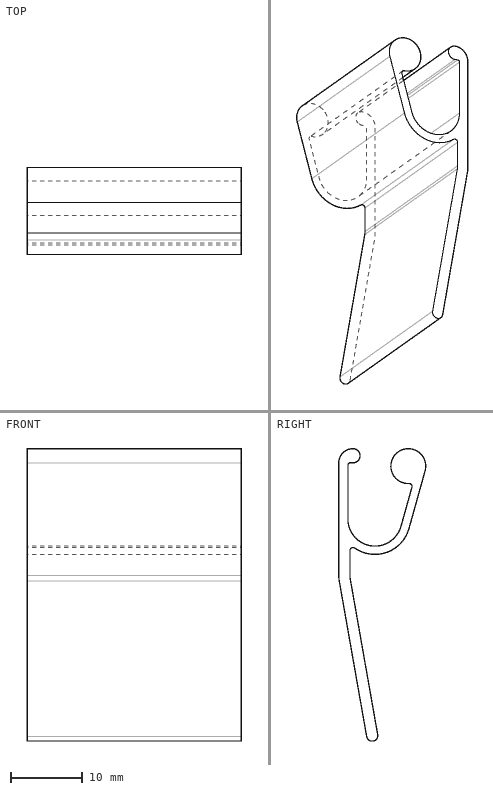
import cadquery as cq
import math

length = 30.0
height = 41.0
depth = 12.2

upper_wall = 1.3
lower_wall = 1.6
lip_outer_radius = 2.0
lip_tip_radius = lip_outer_radius / 2
lip_fillet = 0.3

bend_top_z = 23.2
bend_front_radius = 4.22
tail_angle = math.radians(10)
tail_tip_radius = lower_wall / 2

channel_radius = 3.77
channel_z = 31.1
arm_thickness = 1.2
bead_radius = 2.45
arm_root_fillet = 0.35
channel_root_fillet = 0.4

lip_z = height - lip_outer_radius
bead_y = depth - bead_radius
bead_z = height - bead_radius
channel_y = upper_wall + channel_radius
channel_outer_radius = channel_radius + arm_thickness

span_y = bead_y - channel_y
span_z = bead_z - channel_z
span = math.hypot(span_y, span_z)
arm_angle = math.atan2(span_y, span_z) - math.asin((channel_outer_radius - bead_radius) / span)
normal_y = math.cos(arm_angle)
normal_z = -math.sin(arm_angle)

channel_root_z = channel_z - math.sqrt(channel_outer_radius**2 - (channel_y - lower_wall) ** 2)
lower_wall_top = channel_root_z + arm_thickness / 2


def profile():
    return cq.Workplane("YZ")


def extrude(outline):
    return outline.extrude(length / 2, both=True)


def cylinder(y, z, radius):
    return extrude(profile().center(y, z).circle(radius))


def along_arm(center_y, center_z, offset):
    """Point at an offset from a center, measured square to the arm."""
    return (center_y + offset * normal_y, center_z + offset * normal_z)


def make_upper_wall():
    corner = lip_outer_radius * math.sqrt(0.5)
    outline = (
        profile()
        .moveTo(0, lower_wall_top)
        .lineTo(0, lip_z)
        .threePointArc((lip_outer_radius - corner, lip_z + corner), (lip_outer_radius, height))
        .threePointArc((lip_outer_radius + lip_tip_radius, height - lip_tip_radius), (lip_outer_radius, lip_z))
        .lineTo(upper_wall, lip_z)
        .lineTo(upper_wall, lower_wall_top)
        .close()
    )
    return extrude(outline)


def bend_point(radius, angle):
    """Point on an arc about the bend axis, with the angle measured down from its top."""
    y = bend_front_radius - radius * math.cos(angle)
    z = bend_top_z - radius * math.sin(angle)
    return (y, z)


def make_lower_wall():
    back_radius = bend_front_radius - lower_wall
    middle_radius = bend_front_radius - tail_tip_radius
    middle_end_z = bend_point(middle_radius, tail_angle)[1]
    tail_length = (middle_end_z - tail_tip_radius) / math.cos(tail_angle)

    def tail_point(radius, distance):
        y, z = bend_point(radius, tail_angle)
        return (y + distance * math.sin(tail_angle), z - distance * math.cos(tail_angle))

    outline = (
        profile()
        .moveTo(0, lower_wall_top)
        .lineTo(0, bend_top_z)
        .threePointArc(bend_point(bend_front_radius, tail_angle / 2), bend_point(bend_front_radius, tail_angle))
        .lineTo(*tail_point(bend_front_radius, tail_length))
        .threePointArc(
            tail_point(middle_radius, tail_length + tail_tip_radius), tail_point(back_radius, tail_length)
        )
        .lineTo(*bend_point(back_radius, tail_angle))
        .threePointArc(bend_point(back_radius, tail_angle / 2), (lower_wall, bend_top_z))
        .lineTo(lower_wall, lower_wall_top)
        .close()
    )
    return extrude(outline)


def make_channel():
    """Curved channel floor, from inside the upright wall to the arm."""
    arm_end = 2 * math.pi - arm_angle
    middle = (math.pi + arm_end) / 2

    def on_ring(radius, angle):
        return (channel_y + radius * math.cos(angle), channel_z + radius * math.sin(angle))

    outline = (
        profile()
        .moveTo(*on_ring(channel_radius, math.pi))
        .threePointArc(on_ring(channel_radius, middle), on_ring(channel_radius, arm_end))
        .lineTo(*on_ring(channel_outer_radius, arm_end))
        .threePointArc(on_ring(channel_outer_radius, middle), on_ring(channel_outer_radius, math.pi))
        .close()
    )
    return extrude(outline)


def make_arm():
    outline = profile().polyline(
        [
            along_arm(channel_y, channel_z, channel_radius),
            along_arm(channel_y, channel_z, channel_outer_radius),
            along_arm(bead_y, bead_z, bead_radius),
            along_arm(bead_y, bead_z, bead_radius - arm_thickness),
        ]
    ).close()
    return extrude(outline)


def round_corner(body, corner, radius):
    """Fillet the lengthwise edge that passes through a profile corner."""
    y, z = corner
    return body.edges("|X").edges(cq.NearestToPointSelector((0, y, z))).fillet(radius)


clip = (
    make_upper_wall()
    .union(make_lower_wall())
    .union(make_channel())
    .union(make_arm())
    .union(cylinder(bead_y, bead_z, bead_radius))
)

arm_inner_offset = bead_radius - arm_thickness
arm_root_drop = math.sqrt(bead_radius**2 - arm_inner_offset**2)
arm_root_y, arm_root_z = along_arm(bead_y, bead_z, arm_inner_offset)
arm_root = (
    arm_root_y - arm_root_drop * math.sin(arm_angle),
    arm_root_z - arm_root_drop * math.cos(arm_angle),
)

clip = round_corner(clip, (upper_wall, lip_z), lip_fillet)
clip = round_corner(clip, (lower_wall, channel_root_z), channel_root_fillet)
result = round_corner(clip, arm_root, arm_root_fillet)